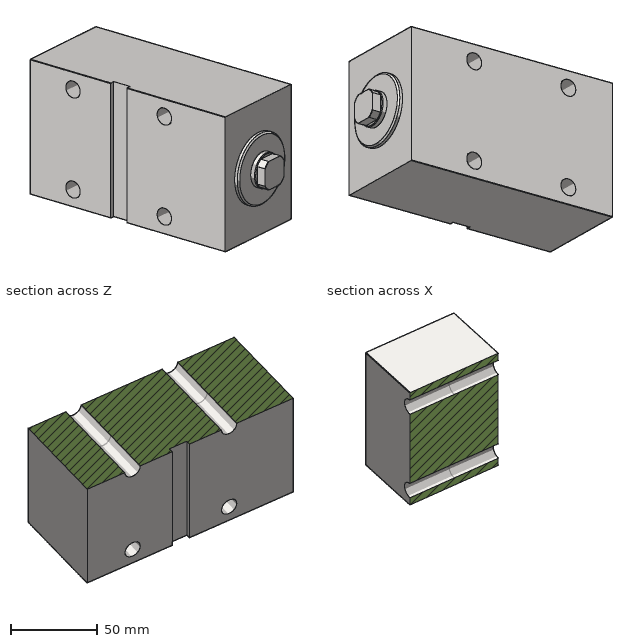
import cadquery as cq

total_length = 155.0
housing_length = 143.0
housing_depth = 63.0
housing_height = 85.0
edge_chamfer = 0.3

groove_start = 59.0
groove_width = 12.0
groove_depth = 3.0

mount_hole_diameter = 10.5
mount_hole_start = 31.5
mount_hole_pitch_x = 67.0
mount_hole_pitch_z = 63.0

gland_diameter = 45.0
gland_thickness = 3.0
gland_chamfer = 1.0

collar_diameter = 22.0
collar_length = 3.3
collar_chamfer = 0.5
tip_diameter = 21.1
tip_chamfer = 0.2
across_flats = 18.0

housing_start = -housing_length
collar_end = gland_thickness + collar_length
tip_end = total_length - housing_length
tip_length = tip_end - collar_end


def x_cylinder(diameter, start, length):
    """Solid cylinder on the X axis from the given X position."""
    return cq.Workplane("YZ", origin=(start, 0, 0)).circle(diameter / 2).extrude(length)


def make_housing():
    """Block with chamfered long edges, a cross groove and four through holes."""
    block = cq.Workplane("XY").box(
        housing_length, housing_depth, housing_height, centered=(False, True, True)
    )
    block = block.translate((housing_start, 0, 0)).edges("|X").chamfer(edge_chamfer)

    groove = cq.Workplane("XY").box(
        groove_width, groove_depth, housing_height, centered=(False, False, True)
    )
    groove = groove.translate((housing_start + groove_start, -housing_depth / 2, 0))

    hole_centre_x = housing_start + mount_hole_start + mount_hole_pitch_x / 2
    holes = (
        cq.Workplane("XZ", origin=(hole_centre_x, 0, 0))
        .rarray(mount_hole_pitch_x, mount_hole_pitch_z, 2, 2)
        .circle(mount_hole_diameter / 2)
        .extrude(housing_depth, both=True)
    )
    return block.cut(groove).cut(holes)


def make_gland():
    """Chamfered ring on the housing face, bored for the rod."""
    disc = x_cylinder(gland_diameter, 0, gland_thickness).faces(">X").chamfer(gland_chamfer)
    return disc.cut(x_cylinder(collar_diameter, 0, gland_thickness))


def make_rod():
    """Collar through the gland and a tip with four flats."""
    collar = x_cylinder(collar_diameter, 0, collar_end).faces(">X").chamfer(collar_chamfer)
    tip = x_cylinder(tip_diameter, collar_end, tip_length).faces(">X").chamfer(tip_chamfer)
    flats = cq.Workplane("YZ", origin=(collar_end, 0, 0)).rect(across_flats, across_flats).extrude(tip_length)
    return collar.union(tip.intersect(flats))


housing = make_housing()
gland = make_gland()
rod = make_rod()

result = cq.Compound.makeCompound([housing.val(), gland.val(), rod.val()])